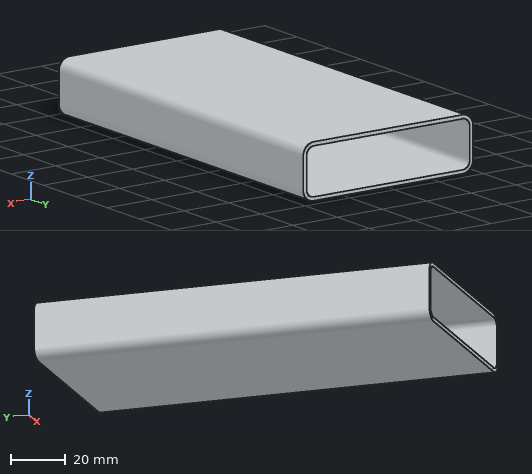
import cadquery as cq

width = 76.2
length = 152.4
height = 22.3
wall = 1.5
outer_radius = 4.7
inner_radius = outer_radius - wall


def rounded_bar(bar_width, bar_height, corner_radius):
    """Solid bar centred on the origin, with its four long edges rounded."""
    return cq.Workplane("XY").box(bar_width, length, bar_height).edges("|Y").fillet(corner_radius)


outer_bar = rounded_bar(width, height, outer_radius)
bore = rounded_bar(width - 2 * wall, height - 2 * wall, inner_radius)

result = outer_bar.cut(bore)